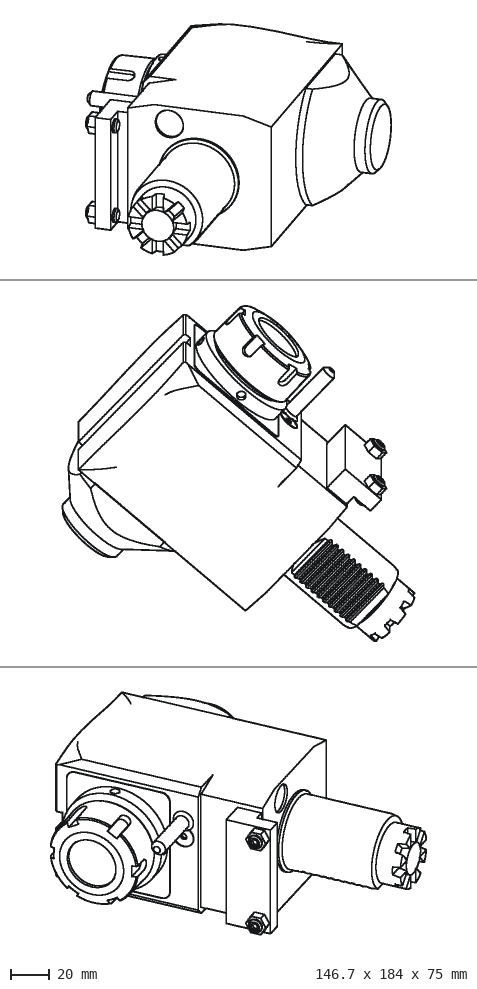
import cadquery as cq
import math


overshoot = 1.8

overall_length = 184
block_back = 116.3
block_left = -42.1
block_right = 39.2
block_half = 37.5
edge_half = 33.7
left_chamfer = block_half - edge_half
right_chamfer_run = 15.3
slant = math.tan(math.radians(15))
step_y = 35.0
step_left = -38.8
step_chamfer_run = left_chamfer / slant
corner_chamfer = 1.0
arch_left_half = 33.0
arch_points = [
    (-37.7, 33.7),
    (-26.9, 35.9),
    (-13.6, 36.6),
    (4.8, 35.7),
    (23.7, 33.9),
    (block_right, 33.5),
]
arch_slope = 0.3
back_slot_width = 10.7
back_slot_depth = 4.0
recess_x, recess_z = -16.2, 27.8
recess_radius = 7.5
recess_depth = 1.5

spindle_y = 80.5
plate_proud = 0.4
plate_y_span = (51.0, 109.7)
plate_height = 63.0
plate_corner = 4.8
ring_radius = 28.2
ring_left = -50.0
ring_hole_count = 4
ring_hole_radius = 2.4
ring_hole_depth = 3.7
neck_radius = 21.7
nut_front_radius = 25.0
nut_rear_radius = 25.4
nut_right = -52.0
nut_shoulder = -72.5
nut_shoulder_radius = 24.5
nut_left = -74.7
nut_face_radius = 18.2
nut_edge = 1.0
nut_bore_radius = 13.8
nut_bore_depth = 1.8
nut_slot_width = 6.3
nut_slot_count = 6
nut_slot_floor = 22.0
nut_slot_long_end = -57.5
nut_slot_short_end = -62.0

cover_radius = 40.5
cover_rim_right = 42.9
cover_hub_left = 63.8
cover_hub_radius = 19.3
cover_right = 72.0
cover_chamfer = 2.2
cover_top_y = 111.9
cover_half = 32.5

pin_y, pin_z = 43.5, 17.3
pin_radius = 3.9
pin_left = -74.5
pin_tip_chamfer = 2.0
pin_collar_radius = 5.7
pin_collar_height = 1.5
plug_z = 8.0
plug_radius = 5.7
plug_hole_radius = 1.7
plug_depth = 0.4
plug_hole_depth = 1.8

bar_left = -52.8
bar_lip_right = -44.3
bar_bottom = -11.0
bar_step = 0.5
bar_top = 14.2
bar_half = 31.0
screw_y = -4.8
screw_z = 25.0
hex_flats = 9.8
hex_height = 4.6
screw_radius = 3.7
screw_left = -59.0
screw_right = -42.5
socket_radius = 2.0
socket_depth = 1.8
screw_chamfer = 1.0

collar_radius = 21.7
collar_length = 2.4
shank_radius = 20.0
shank_length = 53.0
shank_chamfer_length = 3.0
shank_chamfer = 0.5
shank_flat = 15.5
flat_start = -8.1
tooth_count = 10
tooth_first = -11.5
tooth_last = -47.5
tooth_pitch = (tooth_first - tooth_last) / (tooth_count - 1)
tooth_mouth = 3.0
tooth_floor = 1.1
tooth_depth = 1.1
shank_neck_radius = 12.9
coupling_start = -54.0
coupling_end = block_back - overall_length
coupling_radius = 16.2
coupling_hub_radius = 8.6
coupling_slots = 8
coupling_slot_mouth = 6.0
coupling_slot_floor = 4.5
coupling_slot_depth = 4.5


def box(x_span, y_span, z_span):
    """Box between the given limits."""
    size = [span[1] - span[0] for span in (x_span, y_span, z_span)]
    return cq.Workplane("XY").box(*size, centered=False).translate((x_span[0], y_span[0], z_span[0]))


def rod_x(radius, x_span, y, z):
    """Cylinder along X."""
    length = x_span[1] - x_span[0]
    return cq.Workplane("YZ", origin=(x_span[0], y, z)).circle(radius).extrude(length)


def both_sides(solid):
    """The solid together with its mirror image below Z = 0."""
    return solid.union(solid.mirror("XY"))


def turned_x(profile, y, z=0):
    """Solid of revolution about an axis along X; the profile is (x, radius) pairs."""
    outline = [(profile[0][0], 0)] + profile + [(profile[-1][0], 0)]
    return cq.Workplane("XY", origin=(0, y, z)).polyline(outline).close().revolve(360, (0, 0), (1, 0))


def turned_y(profile):
    """Solid of revolution about the Y axis; the profile is (radius, y) pairs."""
    outline = [(0, profile[0][1])] + profile + [(0, profile[-1][1])]
    return cq.Workplane("XY").polyline(outline).close().revolve(360, (0, 0), (0, 1))


def section(left, left_run):
    """Closed XZ outline of the housing with sloped edges on the left and the right."""
    right_half = block_half - right_chamfer_run * slant
    upper = [
        (left, edge_half),
        (left + left_run, block_half),
        (block_right - right_chamfer_run, block_half),
        (block_right, right_half),
    ]
    lower = [(x, -z) for x, z in reversed(upper)]
    return cq.Workplane("XZ").polyline(upper + lower).close()


def arch_cut():
    """Material above the arched surface that falls away towards the back face."""
    clear = block_half + overshoot
    reach = block_back - step_y
    profile = (
        cq.Workplane("XZ", origin=(0, block_back, 0))
        .moveTo(block_left, arch_left_half)
        .spline(arch_points, includeCurrent=True)
        .lineTo(block_right, clear)
        .lineTo(block_left, clear)
        .close()
    )
    face = cq.Face.makeFromWires(profile.wires().val())
    direction = cq.Vector(0, -reach, reach * arch_slope)
    return cq.Workplane(obj=cq.Solid.extrudeLinear(face, direction))


def housing():
    """Chamfered block with a stepped left face, arched back edges, a back slot and a round recess."""
    upper = section(block_left, left_chamfer).extrude(step_y - block_back)
    upper = upper.translate((0, step_y, 0))
    lower = section(step_left, step_chamfer_run).extrude(-step_y)
    upper = upper.edges("<X and >Y").chamfer(corner_chamfer)
    body = upper.union(lower).cut(both_sides(arch_cut()))
    slot_half = back_slot_width / 2
    slot_y_span = (block_back - back_slot_depth, block_back)
    slot = box((block_left, block_right), slot_y_span, (-slot_half, slot_half))
    recess = cq.Workplane("XZ", origin=(recess_x, 0, recess_z)).circle(recess_radius).extrude(-recess_depth)
    return body.cut(slot).cut(recess)


def spindle_plate():
    """Rounded plate standing slightly proud of the spindle face."""
    z_span = (-plate_height / 2, plate_height / 2)
    plate = box((block_left - plate_proud, block_left), plate_y_span, z_span)
    return plate.edges("|X").fillet(plate_corner)


def ring_holes():
    """Four radial spanner holes with conical bottoms."""
    hole_x = (ring_left + block_left) / 2
    bottom = ring_radius - ring_hole_depth
    outline = [(0, bottom - ring_hole_radius), (ring_hole_radius, bottom)]
    outline += [(ring_hole_radius, ring_radius + overshoot), (0, ring_radius + overshoot)]
    hole = cq.Workplane("XZ").polyline(outline).close().revolve(360, (0, 0), (0, 1))
    holes = cq.Workplane("XY")
    for index in range(ring_hole_count):
        holes = holes.add(hole.rotate((0, 0, 0), (1, 0, 0), index * 360 / ring_hole_count))
    return holes.combine().translate((hole_x, spindle_y, 0))


def nut_slots():
    """Six slots around the nut, open at its front; the two at +Z are longer."""
    depth = nut_rear_radius - nut_slot_floor + overshoot
    half = nut_slot_width / 2
    slots = cq.Workplane("XY")
    spacing = 360 / nut_slot_count
    for index in range(nut_slot_count):
        angle = (index + 0.5) * spacing
        beside_top = index in (0, nut_slot_count - 1)
        end = nut_slot_long_end if beside_top else nut_slot_short_end
        slot = (
            cq.Workplane("XY", origin=(0, 0, nut_slot_floor))
            .moveTo(nut_left - overshoot, -half)
            .lineTo(end - half, -half)
            .threePointArc((end, 0), (end - half, half))
            .lineTo(nut_left - overshoot, half)
            .close()
            .extrude(depth)
        )
        slots = slots.add(slot.rotate((0, 0, 0), (1, 0, 0), angle))
    return slots.combine().translate((0, spindle_y, 0))


def spindle():
    """Slotted clamping nut, neck and ring on the spindle axis."""
    nut = turned_x(
        [
            (nut_left, nut_face_radius),
            (nut_shoulder, nut_shoulder_radius),
            (nut_shoulder + nut_edge, nut_front_radius),
            (nut_right - nut_edge, nut_rear_radius),
            (nut_right, nut_rear_radius - nut_edge),
        ],
        spindle_y,
    )
    bore = rod_x(nut_bore_radius, (nut_left, nut_left + nut_bore_depth), spindle_y, 0)
    nut = nut.cut(bore).cut(nut_slots())
    neck = rod_x(neck_radius, (nut_right, ring_left), spindle_y, 0)
    ring = rod_x(ring_radius, (ring_left, block_left), spindle_y, 0).cut(ring_holes())
    return nut.union(neck).union(ring)


def rear_cover():
    """Conical cover flattened at the back and above and below."""
    body = turned_x(
        [
            (block_right, cover_radius),
            (cover_rim_right, cover_radius),
            (cover_hub_left, cover_hub_radius),
            (cover_right - cover_chamfer, cover_hub_radius),
            (cover_right, cover_hub_radius - cover_chamfer),
        ],
        spindle_y,
    )
    slanted_half = cover_half - (cover_right - cover_rim_right) * slant
    upper = [(block_right, cover_half), (cover_rim_right, cover_half), (cover_right, slanted_half)]
    lower = [(x, -z) for x, z in reversed(upper)]
    envelope = cq.Workplane("XZ", origin=(0, cover_top_y, 0)).polyline(upper + lower).close()
    return body.intersect(envelope.extrude(2 * cover_radius))


def coolant_pin():
    """Round pin with a chamfered tip and a conical collar at its root."""
    return turned_x(
        [
            (pin_left, pin_radius - pin_tip_chamfer),
            (pin_left + pin_tip_chamfer, pin_radius),
            (block_left - pin_collar_height, pin_radius),
            (block_left, pin_collar_radius),
        ],
        pin_y,
        pin_z,
    )


def plug_recess():
    """Shallow seat of the plug beside the pin, with a small hole in its centre."""
    seat = rod_x(plug_radius, (block_left, block_left + plug_depth), pin_y, plug_z)
    hole = rod_x(plug_hole_radius, (block_left, block_left + plug_hole_depth), pin_y, plug_z)
    return seat.union(hole)


def clamp_screw(z):
    """Hexagon-headed screw with a socket, passing through the clamp bar."""
    hexagon = (
        cq.Workplane("YZ", origin=(bar_left, screw_y, z))
        .transformed(rotate=(0, 0, 90))
        .polygon(6, hex_flats, circumscribed=True)
        .extrude(-hex_height)
    )
    body = turned_x(
        [
            (screw_left, screw_radius - screw_chamfer),
            (screw_left + screw_chamfer, screw_radius),
            (screw_right - screw_chamfer, screw_radius),
            (screw_right, screw_radius - screw_chamfer),
        ],
        screw_y,
        z,
    )
    socket = (
        cq.Workplane("YZ", origin=(screw_left, screw_y, z))
        .polygon(6, 2 * socket_radius)
        .extrude(socket_depth)
    )
    return hexagon.union(body).cut(socket)


def clamp_bar():
    """Bar with an overhanging lip that carries two screws."""
    outline = [
        (bar_left, bar_bottom),
        (bar_lip_right, bar_bottom),
        (bar_lip_right, bar_step),
        (step_left, bar_step),
        (step_left, bar_top),
        (bar_left, bar_top),
    ]
    bar = cq.Workplane("XY").polyline(outline).close().extrude(bar_half, both=True)
    return bar.union(clamp_screw(screw_z)).union(clamp_screw(-screw_z))


def toothed_flat():
    """Material removed under the shank: a flat with a sloped start and a row of tooth gaps."""
    below = shank_radius + overshoot
    run = below - shank_flat
    flat_profile = [
        (flat_start, -shank_flat),
        (flat_start + run, -below),
        (-shank_length, -below),
        (-shank_length, -shank_flat),
    ]
    cut = cq.Workplane("YZ").polyline(flat_profile).close().extrude(shank_radius, both=True)
    for index in range(tooth_count):
        y = tooth_first - index * tooth_pitch
        gap = [
            (y - tooth_mouth / 2, -shank_flat),
            (y - tooth_floor / 2, -shank_flat + tooth_depth),
            (y + tooth_floor / 2, -shank_flat + tooth_depth),
            (y + tooth_mouth / 2, -shank_flat),
        ]
        cut = cut.union(cq.Workplane("YZ").polyline(gap).close().extrude(shank_radius, both=True))
    return cut


def shank():
    """Toothed cylindrical shank with a tapered collar against the housing."""
    chamfer_start = shank_chamfer_length - shank_length
    body = turned_y(
        [
            (shank_radius, 0),
            (shank_radius, chamfer_start),
            (shank_radius - shank_chamfer, -shank_length),
        ]
    )
    collar = turned_y(
        [
            (collar_radius, 0),
            (collar_radius, -collar_length / 2),
            (shank_radius, -collar_length),
        ]
    )
    return body.cut(toothed_flat()).union(collar)


def coupling():
    """Claw coupling at the shank end: radial slots around a flush hub."""
    body = turned_y([(coupling_radius, coupling_start), (coupling_radius, coupling_end)])
    floor_y = coupling_end + coupling_slot_depth
    slot_outline = [
        (-coupling_slot_mouth / 2, coupling_end),
        (coupling_slot_mouth / 2, coupling_end),
        (coupling_slot_floor / 2, floor_y),
        (-coupling_slot_floor / 2, floor_y),
    ]
    slot = cq.Workplane("XY").polyline(slot_outline).close().extrude(coupling_radius + overshoot)
    for index in range(coupling_slots):
        body = body.cut(slot.rotate((0, 0, 0), (0, 1, 0), index * 360 / coupling_slots))
    hub = turned_y([(coupling_hub_radius, coupling_start), (coupling_hub_radius, coupling_end)])
    neck = turned_y([(shank_neck_radius, -shank_length), (shank_neck_radius, coupling_start)])
    return body.union(hub).union(neck)


result = housing().cut(plug_recess())
for part in (spindle_plate(), spindle(), rear_cover(), coolant_pin(), clamp_bar(), shank(), coupling()):
    result = result.union(part)